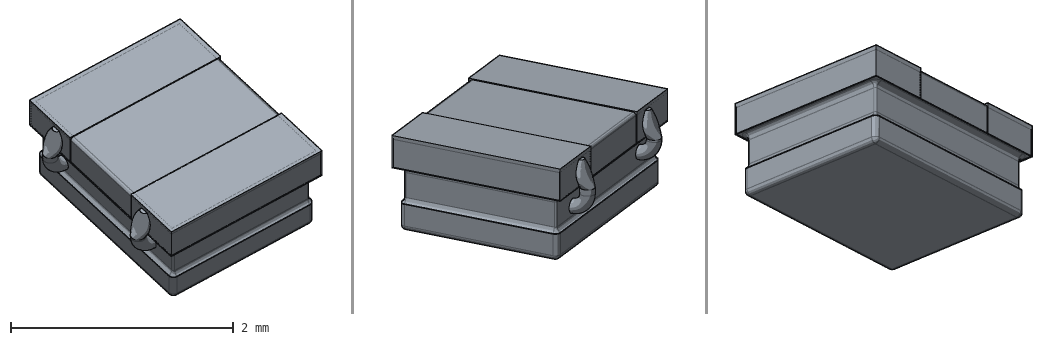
import cadquery as cq


total_height = 0.93
lower_flange_height = 0.26
terminal_height = 0.31
winding_top = total_height - terminal_height

terminal_span_x = 2.10
terminal_depth_y = 1.70
terminal_width = 0.60
plating = 0.01

upper_flange_x = terminal_span_x - 2 * plating
upper_flange_y = terminal_depth_y - 2 * plating
upper_flange_top = total_height - plating
upper_flange_round = 0.03
lower_flange_x = 2.00
lower_flange_y = 1.60
lower_flange_round = 0.05
post_diameter = 0.85

waist_inset = 0.03
waist_x = lower_flange_x - 2 * waist_inset
waist_y = lower_flange_y - 2 * waist_inset
waist_corner = 0.02
flare_radius = 0.056
lip_thickness = 0.004

wire_radius = 0.07
tail_x = 0.65
tail_y = -terminal_depth_y / 2 - wire_radius
bend_radius = 0.15
left_tail_z = 0.41
right_tail_z = 0.45
pad_mid_height = 0.125
pad_mid_half_width = 0.105
pad_mid_half_depth = 0.055
pad_mid_reach = 0.085
pad_height = 0.265
pad_top_half_width = 0.04
pad_top_half_depth = 0.038
pad_top_reach = 0.038


def block(size_x, size_y, z_low, z_high):
    """Centred rectangular block between two heights."""
    height = z_high - z_low
    return cq.Workplane("XY").box(size_x, size_y, height, (True, True, False)).translate((0, 0, z_low))


def make_terminal_block(side):
    """Solid block outlining the terminal on the -X (side=-1) or +X (side=1) end."""
    centre_x = side * (terminal_span_x - terminal_width) / 2
    outline = block(terminal_width, terminal_depth_y, winding_top, total_height)
    return outline.translate((centre_x, 0, 0))


def make_core():
    """Drum core: rounded lower flange, round post and upper flange."""
    lower = block(lower_flange_x, lower_flange_y, 0, lower_flange_height)
    lower = lower.edges("|Z or <Z").fillet(lower_flange_round)
    upper = block(upper_flange_x, upper_flange_y, winding_top, upper_flange_top)
    upper = upper.edges(">Z").fillet(upper_flange_round)
    post = cq.Workplane("XY", origin=(0, 0, lower_flange_height)).circle(post_diameter / 2)
    post = post.extrude(winding_top - lower_flange_height)
    return lower.union(upper).union(post)


def make_potting():
    """Rectangular waist that flares down onto the lower flange and up into a thin lip."""
    lip_bottom = winding_top - lip_thickness
    waist = block(waist_x, waist_y, 0, total_height).edges("|Z").fillet(waist_corner)
    lower_slab = block(terminal_span_x, terminal_depth_y, 0, lower_flange_height)
    lip = block(terminal_span_x, terminal_depth_y, lip_bottom, winding_top)
    flared = waist.union(lower_slab).union(lip)
    waist_region = cq.selectors.BoxSelector(
        (-lower_flange_x / 2, -lower_flange_y / 2, lower_flange_height - lip_thickness / 2),
        (lower_flange_x / 2, lower_flange_y / 2, lip_bottom + lip_thickness / 2),
    )
    flared = flared.faces("|Z").edges(waist_region).fillet(flare_radius)

    middle = (lower_flange_height + winding_top) / 2
    foot_room = block(lower_flange_x, lower_flange_y, lower_flange_height, middle)
    foot_room = foot_room.edges("|Z").fillet(lower_flange_round)
    head_room = block(terminal_span_x, terminal_depth_y, middle, winding_top)
    return flared.intersect(foot_room.union(head_room))


def make_tail(side, tail_z):
    """Wire that leaves the waist, bends up and flattens against its terminal."""
    bend_top_z = tail_z + bend_radius
    bend_start_y = tail_y + bend_radius
    path = (
        cq.Workplane("YZ", origin=(side * tail_x, 0, 0))
        .moveTo(tail_y, winding_top)
        .lineTo(tail_y, bend_top_z)
        .radiusArc((bend_start_y, tail_z), -bend_radius)
        .lineTo(bend_start_y + wire_radius, tail_z)
    )
    wire = cq.Workplane("XY", origin=(side * tail_x, tail_y, winding_top)).circle(wire_radius).sweep(path)

    terminal_face = -terminal_depth_y / 2
    mid_y = terminal_face - pad_mid_reach + pad_mid_half_depth
    top_y = terminal_face - pad_top_reach + pad_top_half_depth
    pad = (
        cq.Workplane("XY", origin=(side * tail_x, tail_y, winding_top))
        .ellipse(wire_radius, wire_radius)
        .workplane(offset=pad_mid_height)
        .center(0, mid_y - tail_y)
        .ellipse(pad_mid_half_width, pad_mid_half_depth)
        .workplane(offset=pad_height - pad_mid_height)
        .center(0, top_y - mid_y)
        .ellipse(pad_top_half_width, pad_top_half_depth)
        .loft(combine=True)
    )
    return wire.union(pad.cut(make_terminal_block(side)))


core = make_core()
terminals = [make_terminal_block(side).cut(core) for side in (-1, 1)]

winding = make_potting()
for side, tail_z in ((-1, left_tail_z), (1, right_tail_z)):
    winding = winding.union(make_tail(side, tail_z))
winding = winding.cut(core)

result = cq.Compound.makeCompound([
    core.val(),
    winding.val(),
    *[terminal.val() for terminal in terminals],
])